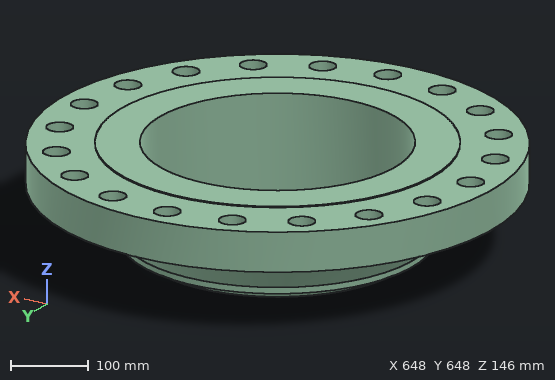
import cadquery as cq
import math

flange_diameter = 648.0
total_height = 146.0

face_diameter = 469.5
face_height = 1.6
plate_thickness = 55.0
bore_diameter = 353.5

hub_diameter = 480.5
neck_diameter = 407.0
weld_end_diameter = 356.0
neck_top_z = 22.5
bevel_break_diameter = 388.5
inner_bevel_angle = 37.5
outer_bevel_angle = 10.0
hub_fillet_radius = 13.0

bolt_count = 20
bolt_circle_diameter = 571.0
bolt_hole_diameter = 35.0

plate_top_z = total_height - face_height
plate_bottom_z = plate_top_z - plate_thickness


def bevel_rise(inner_diameter, outer_diameter, angle):
    """Height gained across a bevel whose angle is measured from the horizontal."""
    return (outer_diameter - inner_diameter) / 2 * math.tan(math.radians(angle))


bevel_break_z = bevel_rise(weld_end_diameter, bevel_break_diameter, inner_bevel_angle)
bevel_top_z = bevel_break_z + bevel_rise(bevel_break_diameter, neck_diameter, outer_bevel_angle)


def flange_body():
    """Revolve the half section of the flange, hub and weld end about Z."""
    section = [
        (bore_diameter / 2, 0),
        (weld_end_diameter / 2, 0),
        (bevel_break_diameter / 2, bevel_break_z),
        (neck_diameter / 2, bevel_top_z),
        (neck_diameter / 2, neck_top_z),
        (hub_diameter / 2, plate_bottom_z),
        (flange_diameter / 2, plate_bottom_z),
        (flange_diameter / 2, plate_top_z),
        (face_diameter / 2, plate_top_z),
        (face_diameter / 2, total_height),
        (bore_diameter / 2, total_height),
    ]
    body = cq.Workplane("XZ").polyline(section).close().revolve(360, (0, 0, 0), (0, 1, 0))
    plate_underside = body.faces("|Z and (not <Z)").faces("<Z")
    hub_root = plate_underside.edges(cq.selectors.RadiusNthSelector(0))
    return hub_root.fillet(hub_fillet_radius)


def bolt_holes():
    """Cylinders on the bolt circle, with one hole on the +X axis."""
    return (
        cq.Workplane("XY")
        .workplane(offset=plate_bottom_z)
        .polarArray(bolt_circle_diameter / 2, 0, 360, bolt_count)
        .circle(bolt_hole_diameter / 2)
        .extrude(plate_thickness)
    )


result = flange_body().cut(bolt_holes())